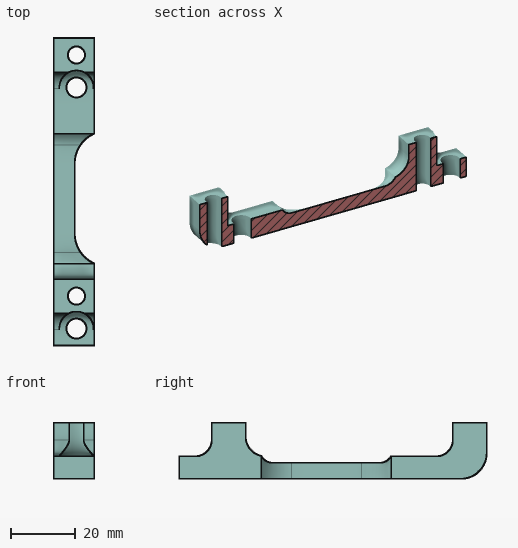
import cadquery as cq
import math

width = 12.5
length = 94.7
height = 17.32

foot_height = 7.0
waist_height = 5.0
post_length = 10.5
post_pitch = 74.2
front_post_start = length - post_length - post_pitch
front_post_end = front_post_start + post_length
rear_post_start = front_post_start + post_pitch
post_fillet = 5.0
post_inner_fillet = 6.0
heel_radius = 8.0

waist_start = 25.3
waist_end = 65.25
waist_cove_radius = 4.0
waist_width = 6.5
relief_radius = 10.0

hole_x = 7.0
post_hole_diameter = 5.2
foot_hole_diameter = 6.1
foot_hole_offset = 10.0
spotface_radius = post_length / 2
post_hole_rows = [start + post_length / 2 for start in (front_post_start, rear_post_start)]


def tangent_arc_run(radius, rise):
    """Horizontal run of an arc that starts tangent to a line and climbs by rise."""
    return math.sqrt(radius**2 - (radius - rise) ** 2)


def box(y_start, y_end, z_start, z_end):
    """Full-width block between the given Y and Z limits."""
    return (
        cq.Workplane("XY")
        .box(width, y_end - y_start, z_end - z_start, centered=False)
        .translate((0, y_start, z_start))
    )


def cylinder_along_x(y, z, radius):
    """Full-width round bar along X."""
    return cq.Workplane("YZ").center(y, z).circle(radius).extrude(width)


def inside_fillet(post_face, direction, radius):
    """Concave fillet between a post face and the foot; direction is +1 or -1 along Y."""
    tangent_y = post_face + direction * radius
    tangent_z = foot_height + radius
    block = box(min(post_face, tangent_y), max(post_face, tangent_y), foot_height, tangent_z)
    return block.cut(cylinder_along_x(tangent_y, tangent_z, radius))


def make_body():
    """Foot bar with two posts, a rounded heel and filleted post roots."""
    body = box(0, length, 0, foot_height)
    body = body.union(box(front_post_start, front_post_end, 0, height))
    body = body.union(box(rear_post_start, length, 0, height))
    body = body.edges("|X and >Y and <Z").fillet(heel_radius)
    body = body.union(inside_fillet(front_post_start, -1, post_fillet))
    body = body.union(inside_fillet(front_post_end, 1, post_inner_fillet))
    return body.union(inside_fillet(rear_post_start, -1, post_fillet))


def waist_pocket():
    """Shallow pocket in the foot top, with coved ends tangent to its floor."""
    run = tangent_arc_run(waist_cove_radius, foot_height - waist_height)
    axis_z = waist_height + waist_cove_radius
    front_axis = waist_start + run
    rear_axis = waist_end - run
    pocket = box(front_axis, rear_axis, waist_height, axis_z)
    for axis_y in (front_axis, rear_axis):
        pocket = pocket.union(cylinder_along_x(axis_y, axis_z, waist_cove_radius))
    return pocket


def side_relief():
    """Side cut-out over the full height, with arc ends tangent to its inner wall."""
    run = tangent_arc_run(relief_radius, width - waist_width)
    arc_angle = math.asin(run / relief_radius) / 2
    mid_run = run - relief_radius * math.sin(arc_angle)
    mid_x = waist_width + relief_radius * (1 - math.cos(arc_angle))
    return (
        cq.Workplane("XY")
        .moveTo(width, waist_start)
        .threePointArc((mid_x, waist_start + mid_run), (waist_width, waist_start + run))
        .lineTo(waist_width, waist_end - run)
        .threePointArc((mid_x, waist_end - mid_run), (width, waist_end))
        .close()
        .extrude(height)
    )


def vertical_cylinder(y, radius, z_start):
    """Upright tool on the hole line, reaching from z_start to the top."""
    return (
        cq.Workplane("XY", origin=(hole_x, y, z_start))
        .circle(radius)
        .extrude(height - z_start)
    )


result = make_body().cut(waist_pocket()).cut(side_relief())
for post_hole_y in post_hole_rows:
    foot_hole_y = post_hole_y - foot_hole_offset
    result = result.cut(vertical_cylinder(post_hole_y, post_hole_diameter / 2, 0))
    result = result.cut(vertical_cylinder(foot_hole_y, foot_hole_diameter / 2, 0))
    result = result.cut(vertical_cylinder(foot_hole_y, spotface_radius, foot_height))